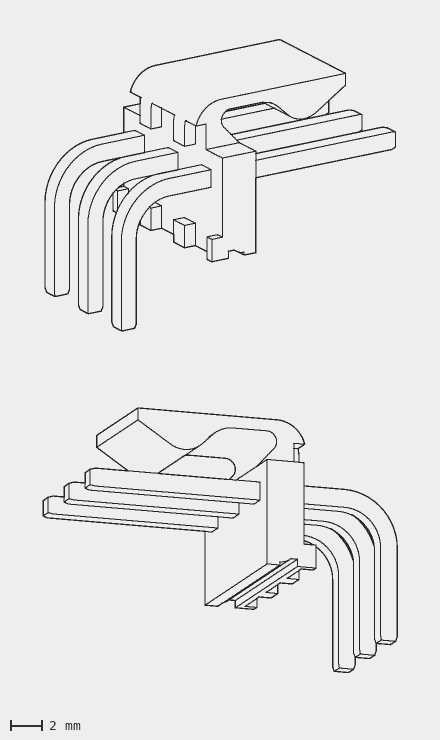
import cadquery as cq
import math


BODY_WIDTH = 11.72
BODY_DEPTH = 2.5
BODY_HEIGHT = 6.83

GROOVE_FRONT = 0.45
GROOVE_STEP = 0.9
GROOVE_BACK = 1.64
GROOVE_DEPTH = 0.48
GROOVE_SHALLOW_DEPTH = 0.2

BLOCK_PROJECTION = 0.8
BLOCK_WIDTH = 1.3
BLOCK_SPACING = 3.98
END_BLOCK_WIDTH = 0.58
LOWER_BLOCK_HEIGHT = 1.51
UPPER_BLOCK_HEIGHT = 1.72

LATCH_WIDTH = 7.8
LATCH_TOP = 10.0
LATCH_THICKNESS = 0.79
LATCH_TIP_Y = 10.52
HUMP_PEAK_Y = 7.19
HUMP_PEAK_Z = 7.08
HUMP_FOOT_Y = 4.89
ROOT_CORNER_Y = 0.31
SHOULDER_RADIUS = 1.95
ROOT_RADIUS = 0.66
HUMP_RADIUS = 1.75
HUMP_FOOT_RADIUS = 1.97

PIN_COUNT = 3
PIN_PITCH = 3.95
PIN_WIDTH = 1.14
PIN_RUN_HEIGHT = 1.18
PIN_CENTER_Z = 5.07
PIN_BACK_Y = 13.94
PIN_FRONT_Y = -6.77
PIN_BOTTOM_Z = -3.98
PIN_BEND_RADIUS = 3.56
PIN_TIP_LENGTH = 0.31
PIN_TIP_INSET = 0.08


def extrude_across(profile, width):
    """Extrude a YZ outline symmetrically about X = 0."""
    return profile.extrude(width / 2, both=True)


def front_block(center_x, width, bottom_z, height):
    """Block standing on the front face of the body."""
    block = cq.Workplane("XY").box(width, BLOCK_PROJECTION, height, centered=(True, False, False))
    return block.translate((center_x, -BLOCK_PROJECTION, bottom_z))


def make_body():
    body = cq.Workplane("XY").box(BODY_WIDTH, BODY_DEPTH, BODY_HEIGHT, centered=(True, False, False))
    return body.cut(make_groove())


def make_groove():
    """Stepped groove whose shallow part has a bulging roof."""
    run = GROOVE_BACK - GROOVE_STEP
    rise = GROOVE_DEPTH - GROOVE_SHALLOW_DEPTH
    bulge_radius = (run**2 + rise**2) / (2 * rise)
    half_angle = math.atan2(rise, run)
    bulge_mid = (
        GROOVE_BACK - bulge_radius * math.sin(half_angle),
        GROOVE_SHALLOW_DEPTH + bulge_radius * (1 - math.cos(half_angle)),
    )
    profile = (
        cq.Workplane("YZ")
        .moveTo(GROOVE_FRONT, 0)
        .lineTo(GROOVE_FRONT, GROOVE_DEPTH)
        .lineTo(GROOVE_STEP, GROOVE_DEPTH)
        .threePointArc(bulge_mid, (GROOVE_BACK, GROOVE_SHALLOW_DEPTH))
        .lineTo(GROOVE_BACK, 0)
        .close()
    )
    return extrude_across(profile, BODY_WIDTH)


def fillet_at(solid, y, z, radius):
    """Round the edge that runs along X through the given YZ point."""
    edge = cq.selectors.NearestToPointSelector((0, y, z))
    return solid.edges("|X").edges(edge).fillet(radius)


def make_latch():
    arm_bottom = LATCH_TOP - LATCH_THICKNESS
    outline = [
        (0, BODY_HEIGHT),
        (BODY_DEPTH, BODY_HEIGHT),
        (ROOT_CORNER_Y, arm_bottom),
        (HUMP_FOOT_Y, arm_bottom),
        (HUMP_PEAK_Y, HUMP_PEAK_Z),
        (LATCH_TIP_Y, arm_bottom),
        (LATCH_TIP_Y, LATCH_TOP),
        (-BLOCK_PROJECTION, LATCH_TOP),
        (-BLOCK_PROJECTION, BODY_HEIGHT),
    ]
    latch = extrude_across(cq.Workplane("YZ").polyline(outline).close(), LATCH_WIDTH)
    latch = fillet_at(latch, -BLOCK_PROJECTION, LATCH_TOP, SHOULDER_RADIUS)
    latch = fillet_at(latch, ROOT_CORNER_Y, arm_bottom, ROOT_RADIUS)
    latch = fillet_at(latch, HUMP_FOOT_Y, arm_bottom, HUMP_FOOT_RADIUS)
    latch = fillet_at(latch, HUMP_PEAK_Y, HUMP_PEAK_Z, HUMP_RADIUS)

    relief = front_block(0, LATCH_WIDTH, BODY_HEIGHT, UPPER_BLOCK_HEIGHT)
    for x in (-BLOCK_SPACING / 2, BLOCK_SPACING / 2):
        relief = relief.cut(front_block(x, BLOCK_WIDTH, BODY_HEIGHT, UPPER_BLOCK_HEIGHT))
    return latch.cut(relief)


def make_lower_blocks():
    end_x = (BODY_WIDTH - END_BLOCK_WIDTH) / 2
    blocks = []
    for side in (-1, 1):
        blocks.append(front_block(side * end_x, END_BLOCK_WIDTH, 0, LOWER_BLOCK_HEIGHT))
        blocks.append(front_block(side * BLOCK_SPACING / 2, BLOCK_WIDTH, 0, LOWER_BLOCK_HEIGHT))
    return blocks


def add_tapered_tip(pin, face_selector):
    """Extend the chosen end face of a pin by a short narrowing tip."""
    taper = math.degrees(math.atan2(PIN_TIP_INSET, PIN_TIP_LENGTH))
    return pin.faces(face_selector).wires().toPending().workplane().extrude(PIN_TIP_LENGTH, taper=taper)


def make_pin(center_x):
    """Pin bent down at the front, with tapered tips at both ends."""
    top = PIN_CENTER_Z + PIN_RUN_HEIGHT / 2
    bottom = PIN_CENTER_Z - PIN_RUN_HEIGHT / 2
    leg_back = PIN_FRONT_Y + PIN_WIDTH
    run_end = PIN_BACK_Y - PIN_TIP_LENGTH
    leg_end = PIN_BOTTOM_Z + PIN_TIP_LENGTH
    outline = [
        (run_end, bottom),
        (run_end, top),
        (PIN_FRONT_Y, top),
        (PIN_FRONT_Y, leg_end),
        (leg_back, leg_end),
        (leg_back, bottom),
    ]
    pin = extrude_across(cq.Workplane("YZ").polyline(outline).close(), PIN_WIDTH)
    pin = fillet_at(pin, PIN_FRONT_Y, top, PIN_BEND_RADIUS)
    pin = fillet_at(pin, leg_back, bottom, PIN_BEND_RADIUS - PIN_WIDTH)
    pin = add_tapered_tip(pin, ">Y")
    pin = add_tapered_tip(pin, "<Z")
    return pin.translate((center_x, 0, 0))


result = make_body().union(make_latch())
for block in make_lower_blocks():
    result = result.union(block)
for index in range(PIN_COUNT):
    pin_x = (index - (PIN_COUNT - 1) / 2) * PIN_PITCH
    result = result.union(make_pin(pin_x))